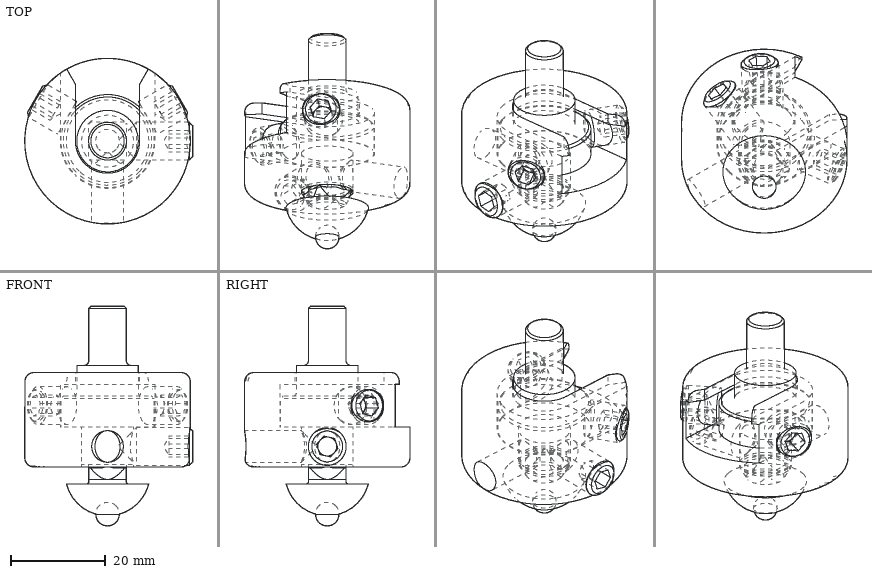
import cadquery as cq
import math

HOUSING_RADIUS = 17.5
HOUSING_HEIGHT = 20.0
HOUSING_FILLET = 2.0

SLOT_FLOOR = 8.5
LIP_THICKNESS = 2.5
CHAMBER_HALF_WIDTH = 10.0
LIP_SLOT_HALF_WIDTH = 6.8
FLARE_START = 12.03
FLARE_ANGLE = 30
LIP_UNDERSIDE = HOUSING_HEIGHT - LIP_THICKNESS

FLANGE_RADIUS = 9.85
FLANGE_CHAMFER = 0.5
FLANGE_TOP = 15.0
COLLAR_RADIUS = 6.5
COLLAR_FILLET = 0.8
COLLAR_TOP = HOUSING_HEIGHT + 1.5
SHANK_RADIUS = 4.0
SHANK_FILLET = 0.98
SHANK_CHAMFER = 0.45
SHANK_TOP = HOUSING_HEIGHT + 13.98

SCREW_RADIUS = 4.0
SCREW_CHAMFER = 0.75
SOCKET_ACROSS_FLATS = 4.0
SOCKET_DEPTH = 5.0
SOCKET_DRILL_ANGLE = 30
SOCKET_TURN = -12
CLAMP_SCREW_ANGLES = (30, 150)
CLAMP_SCREW_FACE = 17.7
CLAMP_SCREW_HEIGHT = (SLOT_FLOOR + LIP_UNDERSIDE) / 2
LOCK_SCREW_ANGLE = 0
LOCK_SCREW_FACE = 18.0
LOCK_SCREW_HEIGHT = 4.35

SPARE_HOLE_ANGLE = -90
SPARE_HOLE_RADIUS = 3.35

PLUG_RADIUS = 5.5
PLUG_BOTTOM = 0.5
NECK_RADIUS = 4.0
NECK_TAPER_BOTTOM = -2.6
NECK_TAPER_ANGLE = 30
NECK_TOP = -0.25
NECK_FILLET = 0.4
DIMPLE_TIP_RADIUS = PLUG_RADIUS - SPARE_HOLE_RADIUS
PAD_TOP = -3.55
PAD_RIM_RADIUS = 8.75
PAD_SPHERE_RADIUS = 9.0
PAD_SPHERE_CENTRE = PAD_TOP + math.sqrt(PAD_SPHERE_RADIUS**2 - PAD_RIM_RADIUS**2)

BALL_RADIUS = 2.5
BALL_CENTRE = -9.95


def radial_plane(angle, distance, height):
    """Plane whose normal points away from the Z axis at the given angle."""
    direction = (math.cos(math.radians(angle)), math.sin(math.radians(angle)))
    origin = (distance * direction[0], distance * direction[1], height)
    return cq.Plane(origin=origin, xDir=(-direction[1], direction[0], 0), normal=(*direction, 0))


def revolve_about_z(outline):
    """Solid of revolution from an XZ outline whose X is the radius."""
    return outline.close().revolve(360, (0, 0, 0), (0, 1, 0))


def revolve_about_radius(outline, angle, height):
    """Solid of revolution about a line out from the Z axis; points are (distance from Z, radius)."""
    solid = cq.Workplane("XZ").polyline(outline).close().revolve(360, (0, 0, 0), (1, 0, 0))
    return solid.rotate((0, 0, 0), (0, 0, 1), angle).translate((0, 0, height))


def make_screw_blank(angle, height, face, end_outline):
    """Screw without its socket, chamfered at the outer face."""
    outline = [
        *end_outline,
        (face - SCREW_CHAMFER, SCREW_RADIUS),
        (face, SCREW_RADIUS - SCREW_CHAMFER),
        (face, 0),
    ]
    return revolve_about_radius(outline, angle, height)


def make_clamp_blank(angle):
    """Flat-ended screw that bears on the flange of the stud."""
    flat_end = [(FLANGE_RADIUS, 0), (FLANGE_RADIUS, SCREW_RADIUS)]
    return make_screw_blank(angle, CLAMP_SCREW_HEIGHT, CLAMP_SCREW_FACE, flat_end)


def make_lock_blank():
    """Screw with a 90 degree point that seats in a dimple of the foot."""
    point = [(DIMPLE_TIP_RADIUS, 0), (DIMPLE_TIP_RADIUS + SCREW_RADIUS, SCREW_RADIUS)]
    return make_screw_blank(LOCK_SCREW_ANGLE, LOCK_SCREW_HEIGHT, LOCK_SCREW_FACE, point)


def cut_socket(blank, angle, height, face):
    """Cut the hexagon socket, with its drill point, into the outer face of a screw."""
    corner_diameter = SOCKET_ACROSS_FLATS / math.cos(math.pi / 6)
    face_plane = radial_plane(angle, face, height).rotated((0, 0, SOCKET_TURN))
    socket = cq.Workplane(face_plane).polygon(6, corner_diameter).extrude(-SOCKET_DEPTH)

    drill_radius = SOCKET_ACROSS_FLATS / 2
    drill_point = drill_radius * math.tan(math.radians(SOCKET_DRILL_ANGLE))
    outline = [(0, 0), (drill_radius, 0), (drill_radius, -SOCKET_DEPTH), (0, -SOCKET_DEPTH - drill_point)]
    drill_plane = cq.Plane(origin=face_plane.origin, xDir=face_plane.xDir, normal=-face_plane.yDir)
    drill = cq.Workplane(drill_plane).polyline(outline).close().revolve(360, (0, 0, 0), (0, 1, 0))
    return blank.cut(socket).cut(drill)


def make_ball():
    return cq.Workplane("XY").sphere(BALL_RADIUS).translate((0, 0, BALL_CENTRE))


def make_stem():
    """Plug, groove and a tapered neck that is squared off below the housing."""
    taper_height = NECK_TOP - NECK_TAPER_BOTTOM
    shoulder_radius = NECK_RADIUS + taper_height * math.tan(math.radians(NECK_TAPER_ANGLE))
    fillet_edge_radius = NECK_RADIUS + NECK_FILLET
    outline = (
        cq.Workplane("XZ")
        .moveTo(0, PAD_TOP)
        .lineTo(fillet_edge_radius, PAD_TOP)
        .radiusArc((NECK_RADIUS, PAD_TOP + NECK_FILLET), NECK_FILLET)
        .lineTo(NECK_RADIUS, NECK_TAPER_BOTTOM)
        .lineTo(shoulder_radius, NECK_TOP)
        .lineTo(fillet_edge_radius, NECK_TOP)
        .radiusArc((NECK_RADIUS, NECK_TOP + NECK_FILLET), NECK_FILLET)
        .lineTo(NECK_RADIUS, PLUG_BOTTOM)
        .lineTo(PLUG_RADIUS, PLUG_BOTTOM)
        .lineTo(PLUG_RADIUS, SLOT_FLOOR)
        .lineTo(0, SLOT_FLOOR)
    )
    square = cq.Workplane("XY").rect(2 * NECK_RADIUS, 2 * NECK_RADIUS).extrude(NECK_TAPER_BOTTOM)
    band = cq.Workplane("XY").circle(PLUG_RADIUS).extrude(NECK_TAPER_BOTTOM)
    return revolve_about_z(outline).cut(band.cut(square))


def make_pad():
    """Part of a sphere below its flat top."""
    sphere = cq.Workplane("XY").sphere(PAD_SPHERE_RADIUS).translate((0, 0, PAD_SPHERE_CENTRE))
    below_top = cq.Workplane("XY").workplane(offset=PAD_TOP).circle(PAD_SPHERE_RADIUS)
    return sphere.intersect(below_top.extrude(-PAD_SPHERE_RADIUS))


def make_dimple(angle):
    """90 degree cone into the side of the plug."""
    cone_base = DIMPLE_TIP_RADIUS + PLUG_RADIUS
    outline = [(DIMPLE_TIP_RADIUS, 0), (cone_base, PLUG_RADIUS), (cone_base, 0)]
    return revolve_about_radius(outline, angle, LOCK_SCREW_HEIGHT)


def make_foot(ball):
    foot = make_stem().union(make_pad())
    for angle in (LOCK_SCREW_ANGLE, SPARE_HOLE_ANGLE):
        foot = foot.cut(make_dimple(angle))
    return foot.cut(ball)


def make_stud():
    outline = (
        cq.Workplane("XZ")
        .moveTo(0, SLOT_FLOOR)
        .lineTo(FLANGE_RADIUS, SLOT_FLOOR)
        .lineTo(FLANGE_RADIUS, FLANGE_TOP - FLANGE_CHAMFER)
        .lineTo(FLANGE_RADIUS - FLANGE_CHAMFER, FLANGE_TOP)
        .lineTo(COLLAR_RADIUS + COLLAR_FILLET, FLANGE_TOP)
        .radiusArc((COLLAR_RADIUS, FLANGE_TOP + COLLAR_FILLET), COLLAR_FILLET)
        .lineTo(COLLAR_RADIUS, COLLAR_TOP)
        .lineTo(SHANK_RADIUS + SHANK_FILLET, COLLAR_TOP)
        .radiusArc((SHANK_RADIUS, COLLAR_TOP + SHANK_FILLET), SHANK_FILLET)
        .lineTo(SHANK_RADIUS, SHANK_TOP - SHANK_CHAMFER)
        .lineTo(SHANK_RADIUS - SHANK_CHAMFER, SHANK_TOP)
        .lineTo(0, SHANK_TOP)
    )
    return revolve_about_z(outline)


def u_slot(half_width, bottom, top):
    """Slot that ends in a half circle about the Z axis and runs out past the housing at +Y."""
    slot = cq.Workplane("XY").workplane(offset=bottom).circle(half_width).extrude(top - bottom)
    run = cq.Workplane("XY").workplane(offset=bottom).center(0, HOUSING_RADIUS / 2)
    return slot.union(run.rect(2 * half_width, HOUSING_RADIUS).extrude(top - bottom))


def lip_flare():
    """Widening of the lip opening towards the outside of the housing."""
    spread = (HOUSING_RADIUS - FLARE_START) * math.tan(math.radians(FLARE_ANGLE))
    mouth = LIP_SLOT_HALF_WIDTH + spread
    outline = [
        (-LIP_SLOT_HALF_WIDTH, FLARE_START),
        (LIP_SLOT_HALF_WIDTH, FLARE_START),
        (mouth, HOUSING_RADIUS),
        (-mouth, HOUSING_RADIUS),
    ]
    return cq.Workplane("XY").workplane(offset=LIP_UNDERSIDE).polyline(outline).close().extrude(LIP_THICKNESS)


def make_housing(screw_blanks):
    housing = cq.Workplane("XY").circle(HOUSING_RADIUS).extrude(HOUSING_HEIGHT)
    housing = housing.faces("<Z or >Z").edges().fillet(HOUSING_FILLET)
    housing = housing.cut(u_slot(CHAMBER_HALF_WIDTH, SLOT_FLOOR, LIP_UNDERSIDE))
    housing = housing.cut(u_slot(LIP_SLOT_HALF_WIDTH, LIP_UNDERSIDE, HOUSING_HEIGHT))
    housing = housing.cut(lip_flare())
    housing = housing.cut(cq.Workplane("XY").circle(PLUG_RADIUS).extrude(SLOT_FLOOR))
    spare_hole = cq.Workplane(radial_plane(SPARE_HOLE_ANGLE, 0, LOCK_SCREW_HEIGHT)).circle(SPARE_HOLE_RADIUS)
    housing = housing.cut(spare_hole.extrude(HOUSING_RADIUS))
    for blank in screw_blanks:
        housing = housing.cut(blank)
    return housing


clamp_blanks = [make_clamp_blank(angle) for angle in CLAMP_SCREW_ANGLES]
lock_blank = make_lock_blank()
clamp_screws = [
    cut_socket(blank, angle, CLAMP_SCREW_HEIGHT, CLAMP_SCREW_FACE)
    for blank, angle in zip(clamp_blanks, CLAMP_SCREW_ANGLES)
]
lock_screw = cut_socket(lock_blank, LOCK_SCREW_ANGLE, LOCK_SCREW_HEIGHT, LOCK_SCREW_FACE)
housing = make_housing([*clamp_blanks, lock_blank])
stud = make_stud()
ball = make_ball()
foot = make_foot(ball)

result = cq.Compound.makeCompound(
    [
        housing.val(),
        stud.val(),
        foot.val(),
        ball.val(),
        lock_screw.val(),
        *[screw.val() for screw in clamp_screws],
    ]
)